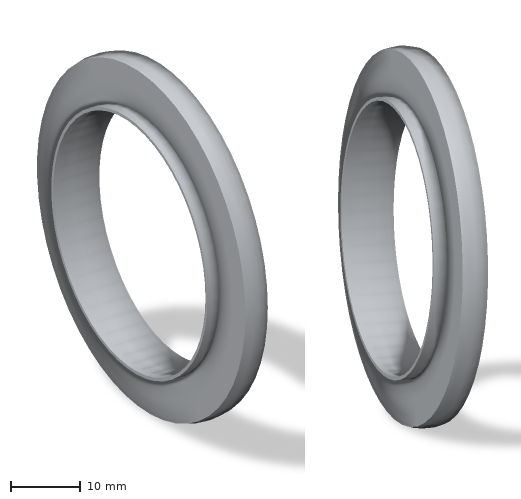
import cadquery as cq

bore_diameter = 40.0
sleeve_diameter = 41.0
seat_diameter = 43.75
outer_diameter = 55.35
sleeve_length = 8.0
seal_width = 3.9
rim_crown = 0.35

bore_radius = bore_diameter / 2
sleeve_radius = sleeve_diameter / 2
seat_radius = seat_diameter / 2
outer_radius = outer_diameter / 2
rim_edge_radius = outer_radius - rim_crown
half_length = sleeve_length / 2
half_width = seal_width / 2


def revolve_about_y(profile):
    """Turn a closed XY profile fully around the Y axis."""
    return profile.close().revolve(360, (0, 0, 0), (0, 1, 0))


def make_centering_ring():
    """Thin sleeve with a raised central collar that carries the seal."""
    profile = (
        cq.Workplane("XY")
        .moveTo(bore_radius, -half_length)
        .lineTo(sleeve_radius, -half_length)
        .lineTo(sleeve_radius, -half_width)
        .lineTo(seat_radius, -half_width)
        .lineTo(seat_radius, half_width)
        .lineTo(sleeve_radius, half_width)
        .lineTo(sleeve_radius, half_length)
        .lineTo(bore_radius, half_length)
    )
    return revolve_about_y(profile)


def make_seal_ring():
    """Flat outer ring with a crowned rim, seated on the collar."""
    profile = (
        cq.Workplane("XY")
        .moveTo(seat_radius, -half_width)
        .lineTo(rim_edge_radius, -half_width)
        .threePointArc((outer_radius, 0), (rim_edge_radius, half_width))
        .lineTo(seat_radius, half_width)
    )
    return revolve_about_y(profile)


centering_ring = make_centering_ring()
seal_ring = make_seal_ring()

result = cq.Compound.makeCompound([centering_ring.val(), seal_ring.val()])